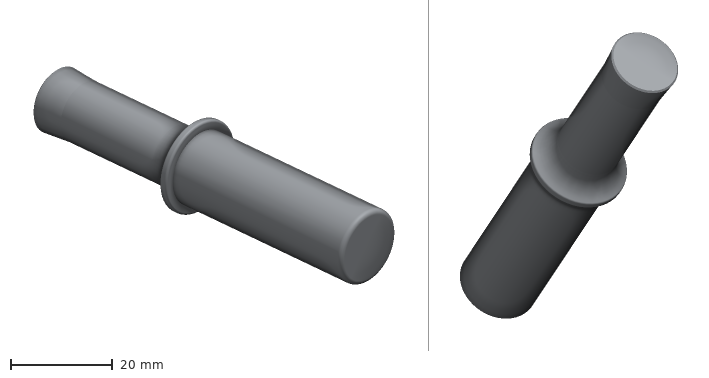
import cadquery as cq
import math

total_length = 83.5
head_length = 7.1
flare_start = 31.5
flange_back = 38.5

head_front_radius = 7.0
neck_radius = 13.0 / 2
shank_radius = 16.0 / 2
flange_radius = 20.0 / 2

head_chamfer = 0.3
flare_radius = 6.0
flange_fillet = 0.5
shank_fillet = 1.0

axis_start = (-total_length / 2, 0, 0)
profile_plane = cq.Plane(origin=axis_start, xDir=(1, 0, 0), normal=(0, 0, 1))


def revolve_about_axis(profile):
    """Turn a closed half profile around the X axis."""
    return profile.revolve(360, (0, 0, 0), (1, 0, 0))


def make_head():
    """Cutting head that narrows towards the neck, with a chamfered front edge."""
    profile = (
        cq.Workplane(profile_plane)
        .moveTo(0, 0)
        .lineTo(0, head_front_radius - head_chamfer)
        .lineTo(head_chamfer, head_front_radius)
        .lineTo(head_length, neck_radius)
        .lineTo(head_length, 0)
        .close()
    )
    return revolve_about_axis(profile)


def make_holder():
    """Neck that flares into a rounded flange, followed by a plain shank."""
    flare_center_radius = neck_radius + flare_radius
    fillet_center_radius = flange_radius - flange_fillet
    center_distance = flare_radius + flange_fillet
    flare_angle = math.acos((flare_center_radius - fillet_center_radius) / center_distance)
    rim_front = flare_start + center_distance * math.sin(flare_angle)

    def flare_point(angle):
        """Point on the flare, with the angle counted from its tangent start on the neck."""
        return (
            flare_start + flare_radius * math.sin(angle),
            flare_center_radius - flare_radius * math.cos(angle),
        )

    fillet_middle = (
        rim_front - flange_fillet * math.sin(flare_angle / 2),
        fillet_center_radius + flange_fillet * math.cos(flare_angle / 2),
    )
    corner_offset = flange_fillet * (1 - math.sqrt(0.5))
    shank_corner_offset = shank_fillet * (1 - math.sqrt(0.5))

    profile = (
        cq.Workplane(profile_plane)
        .moveTo(head_length, 0)
        .lineTo(head_length, neck_radius)
        .lineTo(flare_start, neck_radius)
        .threePointArc(flare_point(flare_angle / 2), flare_point(flare_angle))
        .threePointArc(fillet_middle, (rim_front, flange_radius))
        .lineTo(flange_back - flange_fillet, flange_radius)
        .threePointArc(
            (flange_back - corner_offset, flange_radius - corner_offset),
            (flange_back, fillet_center_radius),
        )
        .lineTo(flange_back, shank_radius)
        .lineTo(total_length - shank_fillet, shank_radius)
        .threePointArc(
            (total_length - shank_corner_offset, shank_radius - shank_corner_offset),
            (total_length, shank_radius - shank_fillet),
        )
        .lineTo(total_length, 0)
        .close()
    )
    return revolve_about_axis(profile)


head = make_head()
holder = make_holder()

result = cq.Compound.makeCompound([head.val(), holder.val()])